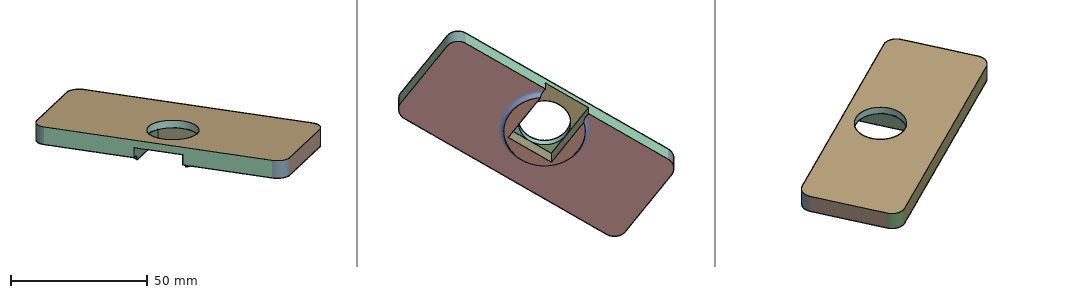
import cadquery as cq

length = 100.0
width = 40.0
plate_thickness = 7.0
corner_radius = 5.0

hole_diameter = 19.2
hole_y = -5.4

boss_diameter = 30.0
boss_height = 2.0
boss_fillet = 1.5

channel_width = hole_diameter
channel_roof = 3.0
channel_back_y = hole_y + channel_width / 2

total_height = plate_thickness + boss_height
channel_front_y = hole_y - boss_diameter / 2 - boss_fillet


def make_plate():
    plate = cq.Workplane("XY").box(length, width, plate_thickness, centered=(True, True, False))
    return plate.edges("|Z").fillet(corner_radius).translate((0, 0, -plate_thickness))


def make_boss():
    """Boss revolved about the hole axis, flaring into the plate through a concave fillet."""
    boss_radius = boss_diameter / 2
    flare_radius = boss_radius + boss_fillet
    arc_center_z = -plate_thickness - boss_fillet
    arc_offset = boss_fillet * 0.5**0.5
    return (
        cq.Workplane("XZ", origin=(0, hole_y, 0))
        .moveTo(0, -total_height)
        .lineTo(boss_radius, -total_height)
        .lineTo(boss_radius, arc_center_z)
        .threePointArc(
            (flare_radius - arc_offset, arc_center_z + arc_offset),
            (flare_radius, -plate_thickness),
        )
        .lineTo(0, -plate_thickness)
        .close()
        .revolve(360, (0, 0, 0), (0, 1, 0))
    )


def make_hole():
    return cq.Workplane("XY").center(0, hole_y).circle(hole_diameter / 2).extrude(-total_height)


def make_channel():
    channel_length = channel_back_y - channel_front_y
    channel_depth = total_height - channel_roof
    return (
        cq.Workplane("XY", origin=(0, channel_front_y, -total_height))
        .box(channel_width, channel_length, channel_depth, centered=(True, False, False))
    )


result = make_plate().union(make_boss()).cut(make_hole()).cut(make_channel())